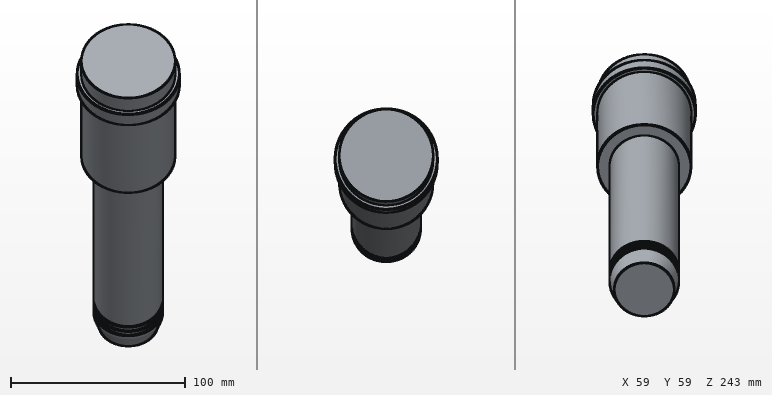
import cadquery as cq
import math

total_height = 243.0
collar_diameter = 59.0
body_diameter = 54.0
shaft_diameter = 39.9

collar_top_depth = 12.0
collar_height = 10.5
body_length = 88.5

step_chamfer = 0.5
end_chamfer = 0.2

tip_height = 10.0
tip_angle = 15.0

groove_count = 3
groove_width = 1.2
groove_depth = 0.5
groove_span = 8.0
lowest_groove_height = 13.5
groove_pitch = groove_span / (groove_count - 1)

body_bottom = total_height - body_length
collar_bottom = total_height - collar_top_depth - collar_height
shaft_radius = shaft_diameter / 2
tip_radius = shaft_radius - tip_height * math.tan(math.radians(tip_angle))


def cylinder(diameter, bottom, height):
    """Solid cylinder on the Z axis, starting at the given height."""
    return cq.Workplane("XY").workplane(offset=bottom).circle(diameter / 2).extrude(height)


def ring_groove(center_height):
    """V-shaped ring of material to remove from the surface of the shaft."""
    half_width = groove_width / 2
    return (
        cq.Workplane("XZ")
        .polyline([
            (shaft_radius, center_height - half_width),
            (shaft_radius - groove_depth, center_height),
            (shaft_radius, center_height + half_width),
        ])
        .close()
        .revolve(360, (0, 0, 0), (0, 1, 0))
    )


shaft = (
    cq.Workplane("XZ")
    .polyline([
        (0, 0),
        (tip_radius, 0),
        (shaft_radius, tip_height),
        (shaft_radius, body_bottom),
        (0, body_bottom),
    ])
    .close()
    .revolve(360, (0, 0, 0), (0, 1, 0))
)
shaft = shaft.faces("<Z").edges().chamfer(end_chamfer)

for index in range(groove_count):
    shaft = shaft.cut(ring_groove(lowest_groove_height + index * groove_pitch))

body = cylinder(body_diameter, body_bottom, body_length)
body = body.faces("<Z").edges().chamfer(step_chamfer)
body = body.faces(">Z").edges().chamfer(end_chamfer)
collar = cylinder(collar_diameter, collar_bottom, collar_height)
collar = collar.edges("%CIRCLE").chamfer(step_chamfer)

result = shaft.union(body).union(collar)